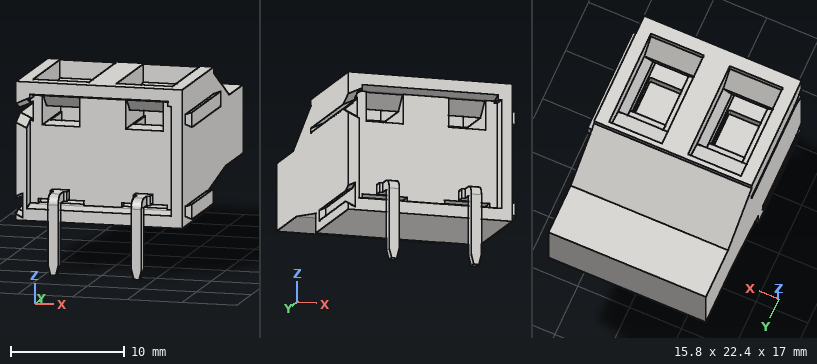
import cadquery as cq
import math


housing_width = 15.2
housing_length = 20.95
housing_height = 12.5
upper_block_length = 10.93
upper_block_step = 11.92
lower_block_length = 9.45
lower_block_step = 1.8
tail_top = 8.98
tail_bottom = 2.8
top_slope_end = 16.1
bottom_slope_end = 14.99

pole_pitch = 7.62
pole_centres = [housing_width / 2 - pole_pitch / 2, housing_width / 2 + pole_pitch / 2]

recess_side_wall = 1.0
recess_roof_side_wall = 1.3
recess_depth = 1.28
recess_draft = 15
recess_draft_length = 1.05
recess_floor = 1.1
recess_shoulder = 10.95
recess_roof = 11.4
recess_draft_rise = recess_draft_length * math.tan(math.radians(recess_draft))
recess_inner_floor = recess_floor + recess_draft_rise
recess_inner_roof = recess_roof - recess_draft_rise

funnel_width = 5.1
funnel_front = 1.32
funnel_back = 10.45
funnel_bottom = 10.37
throat_width = 3.43
throat_front = 2.75
throat_back = 8.47
back_ramp_angle = 14
side_ramp_angle = 30

throat_floor = 8.45
contact_face = 7.55
contact_radius = 0.85
well_width = 3.18
well_front = 3.7
well_depth = 1.0
well_corner_radius = 0.11

throat_top = funnel_bottom - (funnel_width - throat_width) / 2 * math.tan(math.radians(side_ramp_angle))

notch_width = 4.17
notch_roof = 1.8
notch_level_length = 0.55
notch_angle = 30

pin_thickness = 0.85
pin_width = 0.95
pin_top = 2.7
pin_front = -1.45
collar_width = 1.52
collar_front = 0.38
tip_width = 0.5
tip_start = -3.63
pin_end = -4.5
pin_embedment = 0.45
pin_root = recess_depth + pin_embedment

upper_dovetail_z = 9.65
lower_dovetail_z = 1.37
rail_height = 0.63
rail_front = 1.0
rail_root_half = 0.43
rail_tip_half = 0.67
dovetail_angle = 25
upper_groove_depth = 1.25
upper_groove_mouth_half = 0.2
upper_groove_length = upper_block_length
upper_flare_length = 1.5
lower_groove_depth = rail_height
lower_groove_mouth_half = 0.47
lower_groove_length = 8.47
lower_flare_length = 0.78
flare_angle = 23


def box(x_range, y_range, z_range):
    """Axis-aligned box from the (low, high) limits along each axis."""
    (x0, x1), (y0, y1), (z0, z1) = x_range, y_range, z_range
    return cq.Workplane("XY").box(x1 - x0, y1 - y0, z1 - z0, centered=False).translate((x0, y0, z0))


def extrude_x(points, centre, width):
    """Solid with a (y, z) outline, centred on the given x."""
    return cq.Workplane("YZ", origin=(centre, 0, 0)).polyline(points).close().extrude(width / 2, both=True)


def extrude_y(points, front, back):
    """Solid with an (x, z) outline, running from front to back."""
    return cq.Workplane("XZ", origin=(0, front, 0)).polyline(points).close().extrude(front - back)


def housing_body():
    outline = [
        (0, 0),
        (lower_block_length, 0),
        (lower_block_length, lower_block_step),
        (bottom_slope_end, tail_bottom),
        (housing_length, tail_bottom),
        (housing_length, tail_top),
        (top_slope_end, tail_top),
        (upper_block_length, upper_block_step),
        (upper_block_length, housing_height),
        (0, housing_height),
    ]
    return extrude_x(outline, housing_width / 2, housing_width)


def front_recess():
    main_outline = [
        (0, recess_floor),
        (recess_draft_length, recess_inner_floor),
        (recess_depth, recess_inner_floor),
        (recess_depth, recess_shoulder),
        (0, recess_shoulder),
    ]
    roof_outline = [
        (0, recess_shoulder),
        (recess_depth, recess_shoulder),
        (recess_depth, recess_inner_roof),
        (recess_draft_length, recess_inner_roof),
        (0, recess_roof),
    ]
    main = extrude_x(main_outline, housing_width / 2, housing_width - 2 * recess_side_wall)
    roof = extrude_x(roof_outline, housing_width / 2, housing_width - 2 * recess_roof_side_wall)
    return main.union(roof)


def funnel(centre):
    """Rectangular mouth with a 45 degree front ramp, a shallow back ramp and two side ramps."""
    front_ramp_top = funnel_bottom + throat_front - funnel_front
    back_ramp_top = funnel_bottom + (funnel_back - throat_back) * math.tan(math.radians(back_ramp_angle))
    mouth = extrude_x(
        [
            (funnel_front, housing_height),
            (funnel_front, front_ramp_top),
            (throat_front, funnel_bottom),
            (throat_back, funnel_bottom),
            (funnel_back, back_ramp_top),
            (funnel_back, housing_height),
        ],
        centre,
        funnel_width,
    )
    side_ramps = extrude_y(
        [
            (centre - funnel_width / 2, funnel_bottom),
            (centre - throat_width / 2, throat_top),
            (centre + throat_width / 2, throat_top),
            (centre + funnel_width / 2, funnel_bottom),
        ],
        throat_front,
        throat_back,
    )
    return mouth.union(side_ramps)


def throat(centre):
    """Passage open to the recess; its roof is a 45 degree slope and its back wall is the contact."""
    roof_slope_start = throat_front - (recess_inner_roof - throat_top)
    arc_centre_y = contact_face + contact_radius
    arc_centre_z = throat_top - contact_radius
    arc_offset = contact_radius * math.sqrt(0.5)
    passage = (
        cq.Workplane("YZ", origin=(centre, 0, 0))
        .moveTo(recess_depth, throat_floor)
        .lineTo(recess_depth, recess_inner_roof)
        .lineTo(roof_slope_start, recess_inner_roof)
        .lineTo(throat_front, throat_top)
        .lineTo(throat_front, funnel_bottom)
        .lineTo(throat_back, funnel_bottom)
        .lineTo(throat_back, throat_top)
        .lineTo(arc_centre_y, throat_top)
        .threePointArc((arc_centre_y - arc_offset, arc_centre_z + arc_offset), (contact_face, arc_centre_z))
        .lineTo(contact_face, throat_floor)
        .close()
        .extrude(throat_width / 2, both=True)
    )
    well = box(
        (centre - well_width / 2, centre + well_width / 2),
        (well_front, contact_face),
        (throat_floor - well_depth, throat_floor),
    )
    well = well.edges("|Z and <Y").fillet(well_corner_radius)
    return passage.union(well)


def foot_notch(centre):
    ramp_start = recess_depth + notch_level_length
    ramp_length = (notch_roof - recess_inner_floor) / math.tan(math.radians(notch_angle))
    outline = [
        (recess_depth, recess_inner_floor),
        (ramp_start, recess_inner_floor),
        (ramp_start + ramp_length, notch_roof),
        (recess_depth, notch_roof),
    ]
    return extrude_x(outline, centre, notch_width)


def pin(centre):
    """Flat pin leaving the recess through a wider collar, bent down and tapered at its tip."""
    bend_y = pin_front + pin_thickness
    bend_z = pin_top - pin_thickness
    arc_offset = pin_thickness * math.sqrt(0.5)
    shank = (
        cq.Workplane("YZ", origin=(centre, 0, 0))
        .moveTo(pin_root, pin_top)
        .lineTo(bend_y, pin_top)
        .threePointArc((bend_y - arc_offset, bend_z + arc_offset), (pin_front, bend_z))
        .lineTo(pin_front, tip_start)
        .lineTo(bend_y, tip_start)
        .lineTo(bend_y, bend_z)
        .lineTo(pin_root, bend_z)
        .close()
        .extrude(pin_width / 2, both=True)
    )
    tip = extrude_y(
        [
            (centre - pin_width / 2, tip_start),
            (centre - tip_width / 2, pin_end),
            (centre + tip_width / 2, pin_end),
            (centre + pin_width / 2, tip_start),
        ],
        pin_front,
        bend_y,
    )
    collar = box(
        (centre - collar_width / 2, centre + collar_width / 2),
        (collar_front, pin_root),
        (bend_z, pin_top),
    )
    return shank.union(tip).union(collar)


def dovetail_outline(x_start, depth, z_centre, start_half, end_half):
    return [
        (x_start, z_centre - start_half),
        (x_start + depth, z_centre - end_half),
        (x_start + depth, z_centre + end_half),
        (x_start, z_centre + start_half),
    ]


def rail(z_centre, back):
    outline = dovetail_outline(housing_width, rail_height, z_centre, rail_root_half, rail_tip_half)
    return extrude_y(outline, rail_front, back)


def groove(z_centre, depth, mouth_half, length, flare_length):
    """Dovetail groove that flares open towards the front face."""
    inner_half = mouth_half + depth * math.tan(math.radians(dovetail_angle))
    flare = flare_length * math.tan(math.radians(flare_angle))
    inner_outline = dovetail_outline(0, depth, z_centre, mouth_half, inner_half)
    front_outline = dovetail_outline(0, depth, z_centre, mouth_half + flare, inner_half + flare)
    entry = (
        cq.Workplane("XZ")
        .polyline(front_outline)
        .close()
        .workplane(offset=-flare_length)
        .polyline(inner_outline)
        .close()
        .loft(ruled=True)
    )
    return extrude_y(inner_outline, flare_length, length).union(entry)


result = housing_body().cut(front_recess())

for pole_centre in pole_centres:
    result = result.cut(funnel(pole_centre))
    result = result.cut(throat(pole_centre))
    result = result.cut(foot_notch(pole_centre))
    result = result.union(pin(pole_centre))

result = result.union(rail(upper_dovetail_z, upper_groove_length))
result = result.union(rail(lower_dovetail_z, lower_groove_length))

result = result.cut(
    groove(
        upper_dovetail_z,
        upper_groove_depth,
        upper_groove_mouth_half,
        upper_groove_length,
        upper_flare_length,
    )
)
result = result.cut(
    groove(
        lower_dovetail_z,
        lower_groove_depth,
        lower_groove_mouth_half,
        lower_groove_length,
        lower_flare_length,
    )
)